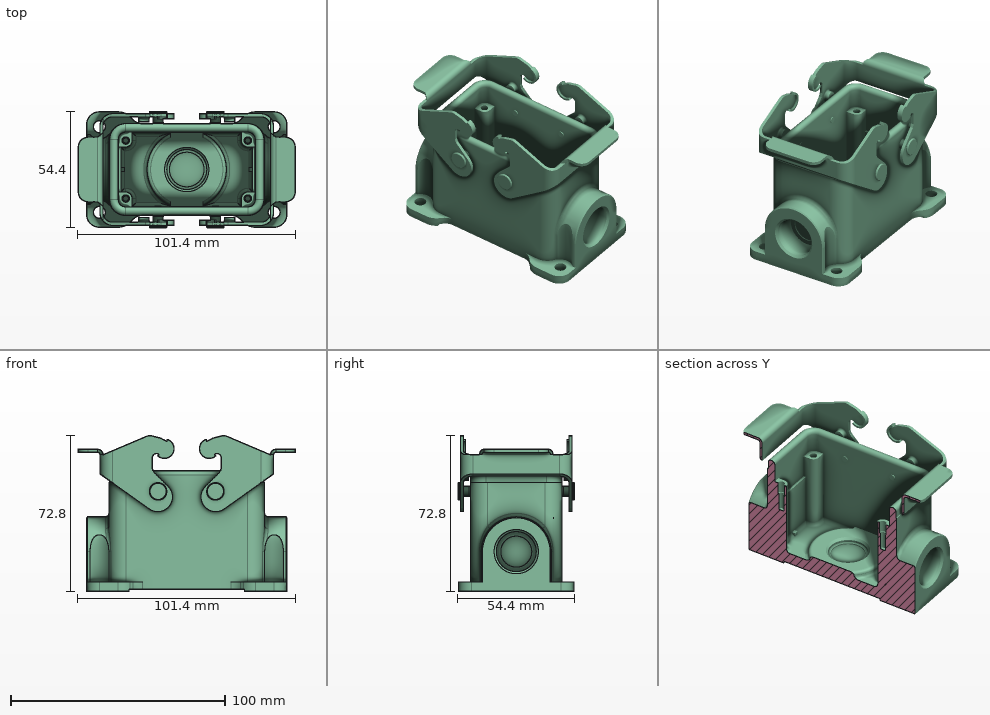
import cadquery as cq
import math

BODY_TOP_Z = 56.4
BODY_Y = 42.9
BODY_X = 72.8
COLLAR_X = 72.0
COLLAR_Z = 50.9
BODY_CORNER_R = 8.0
WALL = 4.0
COLLAR_CORNER_R = 7.4
RIM_R = WALL / 2

FLOOR_Z = 7.0
FLOOR_FILLET = 1.8
CAVITY_X = COLLAR_X - 2 * WALL
CAVITY_Y = BODY_Y - 2 * WALL
CAVITY_CORNER_R = COLLAR_CORNER_R - WALL
CAVITY_DRAFT = 0.2

POST_X = 28.5
POST_Y = 13.55
POST_R = 3.0
POST_TOP_Z = 45.0
SCREW_HOLE_D = 3.5
SCREW_HOLE_DEPTH = 6.0
SCREW_CORE_D = 2.5
SCREW_CORE_DEPTH = 15.0

PAD_TOP_R = 16.9
PAD_EDGE_R = 1.6
PAD_TOP_Z = FLOOR_Z + 2 * PAD_EDGE_R
PAD_BASE_R = PAD_TOP_R + 2 * PAD_EDGE_R
PAD_NECK_X = 15.0
PAD_RECESS_DEPTH = 2.0
PAD_MARK_D = 16.2
PAD_MARK_DEPTH = 0.5

LINER_THICKNESS = 1.2
LINER_TOP_Z = 33.6
RIB_THICKNESS = 2.0

FLANGE_X = 93.6
FLANGE_Y = 54.0
FLANGE_HEIGHT = 4.5
FLANGE_CORNER_R = 6.0
FOOT_BEND_X = 32.1
FOOT_OUTER_R = 8.0
FOOT_INNER_R = 6.0
BOLT_HOLE_D = 5.5
BOLT_X = 40.8
BOLT_Y = 20.0
RELIEF_X = 53.8
RELIEF_HEIGHT = 1.0

ENTRY_Z = 18.6
ENTRY_R = 16.3
ENTRY_FACE_X = FLANGE_X / 2
ENTRY_EDGE_CHAMFER = 0.5
ENTRY_ROOT_FILLET = 1.6
BOLT_CLEARANCE_R = 5.7
BORE_D = 18.7
BORE_DEPTH = 12.0
BORE_CHAMFER = 1.0
KNOCKOUT_D = 14.5
KNOCKOUT_DEPTH = 0.6

SHEET = 1.5
LEVER_X = 40.6
LEVER_Y = 26.1
LEVER_BEND_R = 6.0
LEVER_TOP_Z = 72.79
BAND_TOP_Z = 63.85
ARM_END_X = -13.55
ARM_END_Z = 44.15
ARM_END_R = 6.9
ARM_LOWER_ANGLE = math.radians(35.4)
SLOT_X = -16.1
SLOT_R = 2.1
SLOT_TOP_Z = 64.4
SLOT_BLEND = 1.0
CREST_X = -17.5
CREST_RUN = 1.7
CREST_DROP = 0.5
BROW_X = -12.1
BROW_Z = 71.6
HOOK_X = -10.5
HOOK_Z = 66.7
HOOK_R = 4.6
HOOK_LIP = 1.0
LIP_START = math.radians(72)
LIP_END = math.radians(-132)
TAB_END_X = 50.7
TAB_BEND_R = 1.1
TAB_HALF_Y = 15.1
TAB_ROOT_HALF_Y = 17.2
TAB_CORNER_R = 4.6

PIVOT_X = 13.4
PIVOT_Z = 46.75
PIVOT_D = 4.8
PIVOT_SEAT_D = 4.9
PIVOT_SEAT_Y = 22.0
PIVOT_HEAD_D = 8.2
PIVOT_HEAD_CHAMFER = 0.3
PIVOT_HEAD_Y = 27.2
PIVOT_TAIL_D = 2.95
PIVOT_TAIL_Y = 17.1
STOP_X = 20.0
STOP_Z = 54.35
STOP_D = 4.9
STOP_END_Y = 22.3
STOP_ROOT_R = 0.7

SIDES = (-1, 1)


def rounded_block(length, width, corner_r, z_low, z_high):
    """Upright block, centred on Z, with rounded vertical edges."""
    block = cq.Workplane("XY").workplane(offset=z_low).rect(length, width).extrude(z_high - z_low)
    return block.edges("|Z").fillet(corner_r)


def cylinder_z(x, y, diameter, z_low, z_high):
    return cq.Workplane("XY", origin=(x, y, z_low)).circle(diameter / 2).extrude(z_high - z_low)


def cylinder_x(diameter, x_low, x_high):
    """Cylinder along X on the cable entry axis."""
    return cq.Workplane("YZ", origin=(x_low, 0, ENTRY_Z)).circle(diameter / 2).extrude(x_high - x_low)


def cylinder_y(x, z, diameter, y_low, y_high):
    return cq.Workplane("XZ", origin=(x, y_low, z)).circle(diameter / 2).extrude(y_low - y_high)


def bore_flare(mouth, direction):
    """Conical cutter for the chamfer at the mouth of a bore."""
    bore_r = BORE_D / 2
    cone = cq.Solid.makeCone(
        bore_r + BORE_CHAMFER, bore_r, BORE_CHAMFER, cq.Vector(*mouth), cq.Vector(*direction)
    )
    return cq.Workplane(obj=cone)


def four_corners(feature):
    """Repeat a feature modelled in the +X +Y quarter in all four quarters."""
    pair = feature.union(feature.mirror("YZ"))
    return pair.union(pair.mirror("XZ"))


def make_flange():
    """Base plate whose four feet curve back into the housing side."""
    plate = rounded_block(FLANGE_X, FLANGE_Y, FLANGE_CORNER_R, 0, FLANGE_HEIGHT)
    half_y = FLANGE_Y / 2
    sin45 = math.sin(math.pi / 4)
    outer_x = FOOT_BEND_X - FOOT_OUTER_R * sin45
    outer_y = half_y - FOOT_OUTER_R * (1 - sin45)
    inner_y = BODY_Y / 2 + FOOT_INNER_R * (1 - sin45)
    inner_x = outer_x - (outer_y - inner_y)
    end_x = inner_x - FOOT_INNER_R * sin45
    mid_angle = math.pi / 8
    outer_mid = (
        FOOT_BEND_X - FOOT_OUTER_R * math.sin(mid_angle),
        half_y - FOOT_OUTER_R * (1 - math.cos(mid_angle)),
    )
    inner_mid = (
        end_x + FOOT_INNER_R * math.sin(mid_angle),
        BODY_Y / 2 + FOOT_INNER_R * (1 - math.cos(mid_angle)),
    )
    waist = (
        cq.Workplane("XY")
        .moveTo(FOOT_BEND_X, half_y)
        .threePointArc(outer_mid, (outer_x, outer_y))
        .lineTo(inner_x, inner_y)
        .threePointArc(inner_mid, (end_x, BODY_Y / 2))
        .lineTo(0, BODY_Y / 2)
        .lineTo(0, half_y)
        .close()
        .extrude(FLANGE_HEIGHT)
    )
    return plate.cut(four_corners(waist))


def make_entry():
    """Arched block along X that forms both cable entries."""
    arch = (
        cq.Workplane("YZ", origin=(-ENTRY_FACE_X, 0, 0))
        .moveTo(-ENTRY_R, 0)
        .lineTo(-ENTRY_R, ENTRY_Z)
        .threePointArc((0, ENTRY_Z + ENTRY_R), (ENTRY_R, ENTRY_Z))
        .lineTo(ENTRY_R, 0)
        .close()
        .extrude(2 * ENTRY_FACE_X)
    )
    return arch.faces("<X or >X").chamfer(ENTRY_EDGE_CHAMFER)


def make_rim(base_z):
    """Half-round bead swept around the top of the wall."""
    x = (COLLAR_X - WALL) / 2
    y = (BODY_Y - WALL) / 2
    corner_r = COLLAR_CORNER_R - WALL / 2
    inset = corner_r * (1 - math.sin(math.pi / 4))
    path = (
        cq.Workplane("XY", origin=(0, 0, base_z))
        .moveTo(0, -y)
        .lineTo(x - corner_r, -y)
        .threePointArc((x - inset, inset - y), (x, corner_r - y))
        .lineTo(x, y - corner_r)
        .threePointArc((x - inset, y - inset), (x - corner_r, y))
        .lineTo(corner_r - x, y)
        .threePointArc((inset - x, y - inset), (-x, y - corner_r))
        .lineTo(-x, corner_r - y)
        .threePointArc((inset - x, inset - y), (corner_r - x, -y))
        .close()
    )
    bead = (
        cq.Workplane("YZ", origin=(0, -y, base_z))
        .moveTo(-RIM_R, 0)
        .threePointArc((0, RIM_R), (RIM_R, 0))
        .close()
    )
    return bead.sweep(path)


def make_shell():
    """Housing, cable entries and flange before anything is hollowed out."""
    shell = rounded_block(BODY_X, BODY_Y, BODY_CORNER_R, 0, COLLAR_Z)
    rim_base_z = BODY_TOP_Z - RIM_R
    collar = rounded_block(COLLAR_X, BODY_Y, COLLAR_CORNER_R, COLLAR_Z, rim_base_z)
    shell = shell.union(collar).union(make_rim(rim_base_z))
    shell = shell.union(make_entry())
    reach = BODY_CORNER_R / 2
    margin = ENTRY_EDGE_CHAMFER
    for side in SIDES:
        root = cq.selectors.BoxSelector(
            (side * (BODY_X / 2 - reach), -ENTRY_R - margin, FLANGE_HEIGHT),
            (side * (BODY_X / 2 + margin), ENTRY_R + margin, ENTRY_Z + ENTRY_R + margin),
        )
        shell = shell.edges(root).fillet(ENTRY_ROOT_FILLET)
    clearance = cylinder_z(BOLT_X, BOLT_Y, 2 * BOLT_CLEARANCE_R, 0, COLLAR_Z)
    shell = shell.cut(four_corners(clearance))
    shell = shell.union(make_flange())
    shell = shell.cut(four_corners(cylinder_z(BOLT_X, BOLT_Y, BOLT_HOLE_D, 0, FLANGE_HEIGHT)))
    return shell.cut(cq.Workplane("XY").box(RELIEF_X, FLANGE_Y, 2 * RELIEF_HEIGHT))


def make_post():
    """Screw post in the +X +Y cavity corner, rounded on its inner edge."""
    length = CAVITY_X / 2 - POST_X + POST_R + WALL / 2
    width = CAVITY_Y / 2 - POST_Y + POST_R + WALL / 2
    post = cq.Workplane("XY", origin=(POST_X - POST_R, POST_Y - POST_R, 0))
    post = post.rect(length, width, centered=False).extrude(POST_TOP_Z)
    return post.edges("|Z and <X and <Y").fillet(POST_R)


def make_pad():
    """Round raised pad on the floor, with a blind recess in its centre."""
    bend = PAD_EDGE_R * math.sin(math.pi / 4)
    mid_r = PAD_TOP_R + PAD_EDGE_R
    mid_z = FLOOR_Z + PAD_EDGE_R
    pad = (
        cq.Workplane("XZ")
        .moveTo(0, RELIEF_HEIGHT)
        .lineTo(PAD_BASE_R, RELIEF_HEIGHT)
        .lineTo(PAD_BASE_R, FLOOR_Z)
        .threePointArc((PAD_BASE_R - bend, FLOOR_Z + PAD_EDGE_R - bend), (mid_r, mid_z))
        .threePointArc((PAD_TOP_R + bend, mid_z + bend), (PAD_TOP_R, PAD_TOP_Z))
        .lineTo(0, PAD_TOP_Z)
        .close()
        .revolve(360, (0, 0, 0), (0, 1, 0))
    )
    neck = cq.Workplane("XY").box(PAD_NECK_X, CAVITY_Y, PAD_TOP_Z - RELIEF_HEIGHT)
    pad = pad.union(neck.translate((0, 0, (PAD_TOP_Z + RELIEF_HEIGHT) / 2)))
    recess_z = PAD_TOP_Z - PAD_RECESS_DEPTH
    recess = cylinder_z(0, 0, BORE_D, recess_z, PAD_TOP_Z)
    recess = recess.union(bore_flare((0, 0, PAD_TOP_Z), (0, 0, -1)))
    mark = cylinder_z(0, 0, PAD_MARK_D, recess_z - PAD_MARK_DEPTH, recess_z)
    return pad.cut(recess).cut(mark)


def make_cavity():
    """Space inside the housing, shaped around the posts and end liners."""
    upper = rounded_block(CAVITY_X, CAVITY_Y, CAVITY_CORNER_R, COLLAR_Z, BODY_TOP_Z)
    lower = (
        upper.faces("<Z")
        .wires()
        .toPending()
        .extrude(FLOOR_Z - COLLAR_Z, taper=CAVITY_DRAFT, combine=False)
    )
    cavity = upper.union(lower).cut(four_corners(make_post()))
    liner_y = 2 * (POST_Y - POST_R)
    for side in SIDES:
        liner = cq.Workplane("XY").box(2 * LINER_THICKNESS, liner_y, 2 * LINER_TOP_Z)
        cavity = cavity.cut(liner.translate((side * CAVITY_X / 2, 0, 0)))
    cavity = cavity.faces("<Z").edges().fillet(FLOOR_FILLET)
    rib_x = CAVITY_X / 2 - LINER_THICKNESS - FLOOR_FILLET
    for side in SIDES:
        rib = cq.Workplane("XY").box(WALL, RIB_THICKNESS, FLOOR_FILLET)
        rib = rib.translate((side * (rib_x + WALL / 2), 0, FLOOR_Z + FLOOR_FILLET / 2))
        cavity = cavity.cut(rib)
    return cavity.cut(make_pad())


def entry_bore():
    """Blind bore of the -X cable entry, entering along +X."""
    bottom_x = BORE_DEPTH - ENTRY_FACE_X
    bore = cylinder_x(BORE_D, -ENTRY_FACE_X, bottom_x)
    bore = bore.union(bore_flare((-ENTRY_FACE_X, 0, ENTRY_Z), (1, 0, 0)))
    return bore.union(cylinder_x(KNOCKOUT_D, bottom_x, bottom_x + KNOCKOUT_DEPTH))


def make_housing():
    """Hollow housing with posts, pad and both cable entries."""
    bore = entry_bore()
    housing = make_shell().cut(make_cavity()).cut(bore).cut(bore.mirror("YZ"))
    screw = cylinder_z(POST_X, POST_Y, SCREW_HOLE_D, POST_TOP_Z - SCREW_HOLE_DEPTH, POST_TOP_Z)
    core = cylinder_z(POST_X, POST_Y, SCREW_CORE_D, POST_TOP_Z - SCREW_CORE_DEPTH, POST_TOP_Z)
    return housing.cut(four_corners(screw.union(core)))


def arm_silhouette():
    """Side outline of the -X lever: band, arm, hook slot and round arm end."""
    lower_dx = ARM_END_R * math.sin(ARM_LOWER_ANGLE)
    lower_dz = ARM_END_R * math.cos(ARM_LOWER_ANGLE)
    lower_x = ARM_END_X - lower_dx
    lower_z = ARM_END_Z - lower_dz
    band_bottom_z = lower_z + (lower_x + LEVER_X) * math.tan(ARM_LOWER_ANGLE)
    diagonal = ARM_END_R * math.sin(math.pi / 4)
    slot_corner_z = ARM_END_Z + 2 * diagonal + ARM_END_X - SLOT_X
    blend = SLOT_BLEND * math.sin(math.pi / 4)
    slot_top_x = SLOT_X + SLOT_R
    slot_bend = SLOT_R * (1 - math.sin(math.pi / 4))
    arm = (
        cq.Workplane("XZ", origin=(0, LEVER_Y, 0))
        .moveTo(-LEVER_X, band_bottom_z)
        .lineTo(-LEVER_X, BAND_TOP_Z)
        .lineTo(SHEET - LEVER_X, BAND_TOP_Z)
        .lineTo(CREST_X - CREST_RUN, LEVER_TOP_Z - CREST_DROP)
        .threePointArc((CREST_X, LEVER_TOP_Z), (CREST_X + CREST_RUN, LEVER_TOP_Z - CREST_DROP / 2))
        .lineTo(BROW_X, BROW_Z)
        .lineTo(*hook_point(HOOK_R - HOOK_LIP, LIP_START))
        .lineTo(HOOK_X, HOOK_Z)
        .lineTo(*hook_point(HOOK_R - HOOK_LIP, LIP_END))
        .lineTo(slot_top_x, SLOT_TOP_Z)
        .threePointArc((SLOT_X + slot_bend, SLOT_TOP_Z - slot_bend), (SLOT_X, SLOT_TOP_Z - SLOT_R))
        .lineTo(SLOT_X, slot_corner_z + SLOT_BLEND)
        .lineTo(SLOT_X + blend, slot_corner_z - blend)
        .lineTo(ARM_END_X + diagonal, ARM_END_Z + diagonal)
        .threePointArc((ARM_END_X + lower_dz, ARM_END_Z - lower_dx), (lower_x, lower_z))
        .close()
        .extrude(2 * LEVER_Y)
    )
    core = cylinder_y(HOOK_X, HOOK_Z, 2 * (HOOK_R - HOOK_LIP), -LEVER_Y, LEVER_Y)
    return arm.union(core)


def hook_point(radius, angle):
    """Point on a circle about the hook centre, as (x, z)."""
    return (HOOK_X + radius * math.cos(angle), HOOK_Z + radius * math.sin(angle))


def hook_lip():
    """Curved lip around the +Y hook tip, standing inward from the sheet."""
    inner_r = HOOK_R - HOOK_LIP
    middle = (LIP_START + LIP_END) / 2
    return (
        cq.Workplane("XZ", origin=(0, LEVER_Y, 0))
        .moveTo(*hook_point(inner_r, LIP_START))
        .lineTo(*hook_point(HOOK_R, LIP_START))
        .threePointArc(hook_point(HOOK_R, middle), hook_point(HOOK_R, LIP_END))
        .lineTo(*hook_point(inner_r, LIP_END))
        .threePointArc(hook_point(inner_r, middle), hook_point(inner_r, LIP_START))
        .close()
        .extrude(SHEET + HOOK_LIP)
    )


def lever_tab():
    """Finger tab bent outward from the top of the -X lever band."""
    outer_r = TAB_BEND_R + SHEET
    bend_x = -LEVER_X - TAB_BEND_R
    diag = math.sin(math.pi / 4)
    outer_mid = (bend_x + outer_r * diag, BAND_TOP_Z + outer_r * diag)
    inner_mid = (bend_x + TAB_BEND_R * diag, BAND_TOP_Z + TAB_BEND_R * diag)
    profile = (
        cq.Workplane("XZ", origin=(0, TAB_ROOT_HALF_Y, 0))
        .moveTo(-LEVER_X, BAND_TOP_Z)
        .lineTo(SHEET - LEVER_X, BAND_TOP_Z)
        .threePointArc(outer_mid, (bend_x, BAND_TOP_Z + outer_r))
        .lineTo(-TAB_END_X, BAND_TOP_Z + outer_r)
        .lineTo(-TAB_END_X, BAND_TOP_Z + TAB_BEND_R)
        .lineTo(bend_x, BAND_TOP_Z + TAB_BEND_R)
        .threePointArc(inner_mid, (-LEVER_X, BAND_TOP_Z))
        .close()
        .extrude(2 * TAB_ROOT_HALF_Y)
    )
    corner_x = TAB_CORNER_R - TAB_END_X
    corner_y = TAB_HALF_Y - TAB_CORNER_R
    corner_mid = (corner_x - TAB_CORNER_R * diag, corner_y + TAB_CORNER_R * diag)
    half_outline = (
        cq.Workplane("XY", origin=(0, 0, BAND_TOP_Z))
        .moveTo(-TAB_END_X, 0)
        .lineTo(-TAB_END_X, corner_y)
        .threePointArc(corner_mid, (corner_x, TAB_HALF_Y))
        .lineTo(bend_x, TAB_HALF_Y)
        .lineTo(SHEET - LEVER_X, TAB_ROOT_HALF_Y)
        .lineTo(SHEET - LEVER_X, 0)
        .close()
        .extrude(outer_r)
    )
    return profile.intersect(half_outline.union(half_outline.mirror("XZ")))


def make_stop():
    """Stop pin inside the +Y arm of the -X lever, blended into the sheet."""
    root_y = LEVER_Y - SHEET
    pin_r = STOP_D / 2
    bend = STOP_ROOT_R * (1 - math.sin(math.pi / 4))
    profile = (
        cq.Workplane("XY", origin=(-STOP_X, 0, STOP_Z))
        .moveTo(0, STOP_END_Y)
        .lineTo(pin_r, STOP_END_Y)
        .lineTo(pin_r, root_y - STOP_ROOT_R)
        .threePointArc((pin_r + bend, root_y - bend), (pin_r + STOP_ROOT_R, root_y))
        .lineTo(0, root_y)
        .close()
    )
    return profile.revolve(360, (0, 0, 0), (0, 1, 0))


def make_lever():
    """Complete -X locking lever bent from sheet, with its two stop pins."""
    plan_x = 2 * LEVER_X
    inner_offset = 2 * SHEET
    sleeve = rounded_block(plan_x, 2 * LEVER_Y, LEVER_BEND_R, 0, LEVER_TOP_Z)
    sleeve = sleeve.cut(
        rounded_block(
            plan_x - inner_offset, 2 * LEVER_Y - inner_offset, LEVER_BEND_R - SHEET, 0, LEVER_TOP_Z
        )
    )
    lever = sleeve.intersect(arm_silhouette())
    lip = hook_lip()
    lever = lever.union(lip).union(lip.mirror("XZ")).union(lever_tab())
    stop = make_stop()
    return lever.union(stop).union(stop.mirror("XZ"))


def make_pivot():
    """Pivot of the +X lever on the +Y side, with its head and tail."""
    wall_inner_y = CAVITY_Y / 2
    pivot = cylinder_y(PIVOT_X, PIVOT_Z, PIVOT_D, wall_inner_y + RIM_R, LEVER_Y)
    seat = cylinder_y(PIVOT_X, PIVOT_Z, PIVOT_SEAT_D, wall_inner_y + RIM_R, PIVOT_SEAT_Y)
    tail = cylinder_y(PIVOT_X, PIVOT_Z, PIVOT_TAIL_D, PIVOT_TAIL_Y, wall_inner_y + RIM_R)
    head = cylinder_y(PIVOT_X, PIVOT_Z, PIVOT_HEAD_D, LEVER_Y, PIVOT_HEAD_Y)
    head = head.edges().chamfer(PIVOT_HEAD_CHAMFER)
    return pivot.union(seat).union(tail).union(head)


lever = make_lever()
result = make_housing().union(lever).union(lever.mirror("YZ")).union(four_corners(make_pivot()))